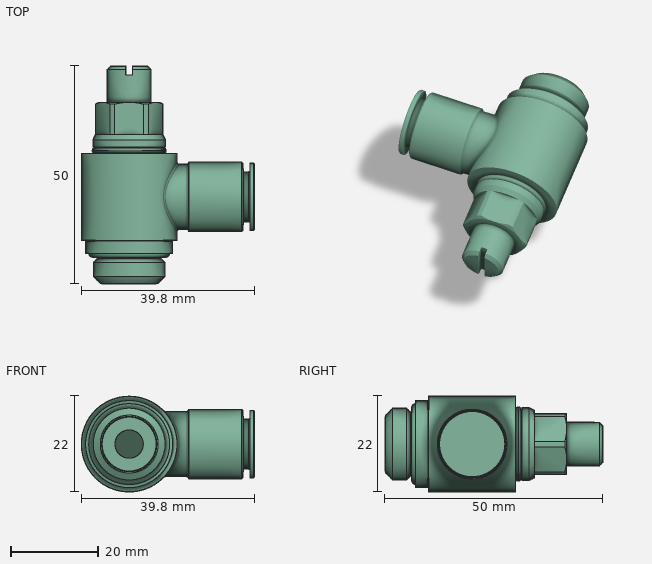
import cadquery as cq
import math


RING_RADIUS = 11.0
RING_LENGTH = 20.0
BORE_RADIUS = 7.9

NECK_RADIUS = 7.5
ROOT_FILLET = 0.5
SLEEVE_RADIUS = 8.0
SLEEVE_START = 13.6
SLEEVE_END = 26.1
SLEEVE_FILLET = 0.35
SLEEVE_START_CHAMFER = SLEEVE_RADIUS - NECK_RADIUS - SLEEVE_FILLET
SLEEVE_END_CHAMFER = 0.3

LIP_RADIUS = 6.35
LIP_LENGTH = 0.15
COLLET_RADIUS = 5.75
COLLET_FLARE_START = 27.4
COLLET_FLARE_RISE = 0.1
FLANGE_START = 27.7
FLANGE_RADIUS = 7.75
FLANGE_CHAMFER = 0.25
OUTLET_END = 28.8

STEM_BOTTOM = -20.0
END_BOSS_RADIUS = 6.35
END_BOSS_HEIGHT = 0.15
END_FACE_RADIUS = 6.65
THREAD_RADIUS = 8.25
THREAD_BOTTOM = STEM_BOTTOM + END_BOSS_HEIGHT
THREAD_LEAD_IN = THREAD_RADIUS - END_FACE_RADIUS
UNDERCUT_RADIUS = 7.35
THREAD_TOP = -14.2
THREAD_RUNOUT = THREAD_RADIUS - UNDERCUT_RADIUS
SHOULDER_RADIUS = 10.0
SHOULDER_BOTTOM = -13.0
SHOULDER_GAP = 0.15
SHOULDER_TOP = -RING_LENGTH / 2 - SHOULDER_GAP
COLLAR_RADIUS = 8.35
COLLAR_BOTTOM = 11.45
COLLAR_TAPER_START = 13.1
HEX_BOTTOM = 14.3
HEX_TOP = 21.7
HEX_ACROSS_FLATS = 14.0
HEX_CORNER_RADIUS = 7.75
HEX_CHAMFER_ANGLE = 30.0
POST_RADIUS = 5.05
POST_CHAMFER = 0.8
STEM_TOP = 30.0
SLOT_WIDTH = 1.5
SLOT_DEPTH = 2.0
PORT_RADIUS = 3.25
PORT_DEPTH = 10.0

UPPER_SEAL_RADIUS = BORE_RADIUS
UPPER_SEAL_SECTION = 0.6
UPPER_SEAL_Y = 10.6
LOWER_SEAL_RADIUS = 8.3
LOWER_SEAL_SECTION = 1.0
LOWER_SEAL_Y = -12.9


def y_cylinder(radius, y_start, y_end):
    """Cylinder around the Y axis between two Y positions."""
    start = cq.Vector(0, y_start, 0)
    return cq.Workplane(cq.Solid.makeCylinder(radius, y_end - y_start, start, cq.Vector(0, 1, 0)))


def y_torus(ring_radius, section_radius, y):
    """Ring of round section around the Y axis."""
    center = cq.Vector(0, y, 0)
    return cq.Workplane(cq.Solid.makeTorus(ring_radius, section_radius, center, cq.Vector(0, 1, 0)))


def make_outlet_end():
    """Sleeve and release collet, turned around the X axis."""
    fillet_start = SLEEVE_START - SLEEVE_FILLET
    fillet_top = NECK_RADIUS + SLEEVE_FILLET
    fillet_middle = (
        fillet_start + SLEEVE_FILLET * math.sin(math.radians(45)),
        fillet_top - SLEEVE_FILLET * math.cos(math.radians(45)),
    )
    lip_end = SLEEVE_END + LIP_LENGTH
    profile = (
        cq.Workplane("XY")
        .moveTo(fillet_start, 0)
        .lineTo(fillet_start, NECK_RADIUS)
        .threePointArc(fillet_middle, (SLEEVE_START, fillet_top))
        .lineTo(SLEEVE_START + SLEEVE_START_CHAMFER, SLEEVE_RADIUS)
        .lineTo(SLEEVE_END - SLEEVE_END_CHAMFER, SLEEVE_RADIUS)
        .lineTo(SLEEVE_END, SLEEVE_RADIUS - SLEEVE_END_CHAMFER)
        .lineTo(SLEEVE_END, LIP_RADIUS)
        .lineTo(lip_end, LIP_RADIUS)
        .lineTo(lip_end, COLLET_RADIUS)
        .lineTo(COLLET_FLARE_START, COLLET_RADIUS)
        .lineTo(FLANGE_START, COLLET_RADIUS + COLLET_FLARE_RISE)
        .lineTo(FLANGE_START, FLANGE_RADIUS)
        .lineTo(OUTLET_END - FLANGE_CHAMFER, FLANGE_RADIUS)
        .lineTo(OUTLET_END, FLANGE_RADIUS - FLANGE_CHAMFER)
        .lineTo(OUTLET_END, 0)
        .close()
    )
    return profile.revolve(360, (0, 0, 0), (1, 0, 0))


def make_housing():
    """Ring with the outlet branch, bored through for the stem."""
    ring = y_cylinder(RING_RADIUS, -RING_LENGTH / 2, RING_LENGTH / 2)
    neck = cq.Workplane("YZ").circle(NECK_RADIUS).extrude(SLEEVE_START - SLEEVE_FILLET)
    body = ring.union(neck)
    root_box = cq.selectors.BoxSelector(
        (0, -NECK_RADIUS - ROOT_FILLET, -NECK_RADIUS - ROOT_FILLET),
        (RING_RADIUS + ROOT_FILLET, NECK_RADIUS + ROOT_FILLET, NECK_RADIUS + ROOT_FILLET),
        boundingbox=True,
    )
    body = body.edges(root_box).fillet(ROOT_FILLET)
    bore = y_cylinder(BORE_RADIUS, -RING_LENGTH / 2, RING_LENGTH / 2)
    return body.union(make_outlet_end()).cut(bore)


def make_turned_stem():
    """All round parts of the stem, below and above the hexagon."""
    profile = (
        cq.Workplane("XY")
        .moveTo(0, STEM_BOTTOM)
        .lineTo(END_BOSS_RADIUS - END_BOSS_HEIGHT, STEM_BOTTOM)
        .lineTo(END_BOSS_RADIUS, THREAD_BOTTOM)
        .lineTo(END_FACE_RADIUS, THREAD_BOTTOM)
        .lineTo(THREAD_RADIUS, THREAD_BOTTOM + THREAD_LEAD_IN)
        .lineTo(THREAD_RADIUS, THREAD_TOP - THREAD_RUNOUT)
        .lineTo(UNDERCUT_RADIUS, THREAD_TOP)
        .lineTo(UNDERCUT_RADIUS, SHOULDER_BOTTOM)
        .lineTo(SHOULDER_RADIUS, SHOULDER_BOTTOM)
        .lineTo(SHOULDER_RADIUS, SHOULDER_TOP)
        .lineTo(BORE_RADIUS, SHOULDER_TOP)
        .lineTo(BORE_RADIUS, COLLAR_BOTTOM)
        .lineTo(COLLAR_RADIUS, COLLAR_BOTTOM)
        .lineTo(COLLAR_RADIUS, COLLAR_TAPER_START)
        .lineTo(HEX_CORNER_RADIUS, HEX_BOTTOM)
        .lineTo(POST_RADIUS, HEX_BOTTOM)
        .lineTo(POST_RADIUS, STEM_TOP - POST_CHAMFER)
        .lineTo(POST_RADIUS - POST_CHAMFER, STEM_TOP)
        .lineTo(0, STEM_TOP)
        .close()
    )
    return profile.revolve(360, (0, 0, 0), (0, 1, 0))


def make_hexagon():
    """Hexagon with flats toward +Z and -Z, rounded corners and a chamfered top."""
    flat_distance = HEX_ACROSS_FLATS / 2
    corner_distance = flat_distance / math.cos(math.radians(30))
    prism = (
        cq.Workplane("XZ", origin=(0, HEX_BOTTOM, 0))
        .polygon(6, 2 * corner_distance)
        .extrude(HEX_BOTTOM - HEX_TOP)
    )
    chamfer_drop = (HEX_CORNER_RADIUS - flat_distance) * math.tan(math.radians(HEX_CHAMFER_ANGLE))
    envelope = (
        cq.Workplane("XY")
        .moveTo(0, HEX_BOTTOM)
        .lineTo(HEX_CORNER_RADIUS, HEX_BOTTOM)
        .lineTo(HEX_CORNER_RADIUS, HEX_TOP - chamfer_drop)
        .lineTo(flat_distance, HEX_TOP)
        .lineTo(0, HEX_TOP)
        .close()
        .revolve(360, (0, 0, 0), (0, 1, 0))
    )
    return prism.intersect(envelope)


def make_stem():
    """Stem with its hexagon, sealing rings, screwdriver slot and port hole."""
    stem = make_turned_stem().union(make_hexagon())
    stem = stem.union(y_torus(UPPER_SEAL_RADIUS, UPPER_SEAL_SECTION, UPPER_SEAL_Y))
    stem = stem.union(y_torus(LOWER_SEAL_RADIUS, LOWER_SEAL_SECTION, LOWER_SEAL_Y))
    slot = cq.Workplane("XY").box(SLOT_WIDTH, 2 * SLOT_DEPTH, 2 * POST_RADIUS).translate((0, STEM_TOP, 0))
    port = y_cylinder(PORT_RADIUS, STEM_BOTTOM, STEM_BOTTOM + PORT_DEPTH)
    return stem.cut(slot).cut(port)


housing = make_housing()
stem = make_stem()

result = cq.Compound.makeCompound([housing.val(), stem.val()])